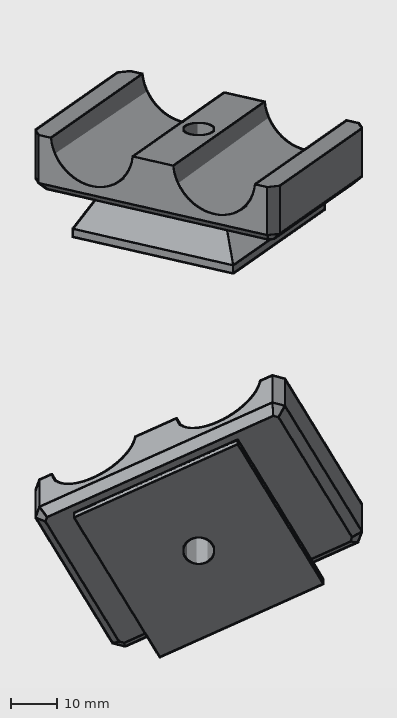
import cadquery as cq

length = 61.0
width = 40.0
height = 22.25

block_height = 13.35
edge_chamfer = 2.0

groove_radius = 10.25
groove_depth = 9.2
groove_offset = length / 4

plate_height = 1.95
neck_width = 32.1
hole_diameter = 6.7

block_bottom = height - block_height
flare_height = block_bottom - plate_height


def make_block():
    """Block with chamfered vertical corners and bottom rim."""
    block = cq.Workplane("XY").workplane(offset=block_bottom).rect(length, width).extrude(block_height)
    return block.edges("|Z").chamfer(edge_chamfer).faces("<Z").edges().chamfer(edge_chamfer)


def make_foot():
    """Square plate with a flare that narrows towards the block."""
    plate = cq.Workplane("XY").rect(width, width).extrude(plate_height)
    flare = (
        cq.Workplane("XY")
        .workplane(offset=plate_height)
        .rect(width, width)
        .workplane(offset=flare_height)
        .rect(neck_width, neck_width)
        .loft(ruled=True)
    )
    return plate.union(flare)


def make_grooves():
    """Two parallel cylinders along Y that form the tube seats."""
    axis_height = height - groove_depth + groove_radius
    return (
        cq.Workplane("XZ")
        .pushPoints([(-groove_offset, axis_height), (groove_offset, axis_height)])
        .circle(groove_radius)
        .extrude(width / 2, both=True)
    )


through_hole = cq.Workplane("XY").circle(hole_diameter / 2).extrude(height)

result = make_block().union(make_foot()).cut(make_grooves()).cut(through_hole)